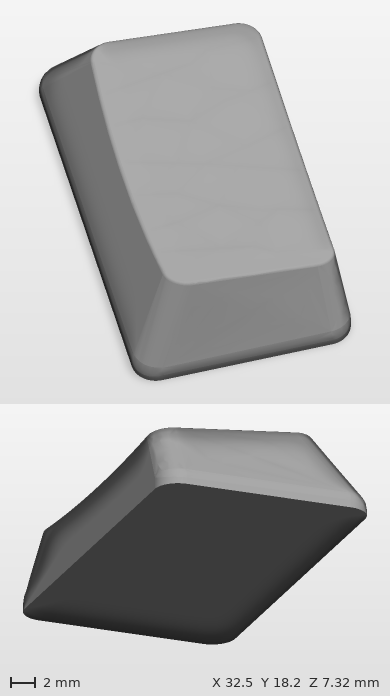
import cadquery as cq
import math

width = 32.45
depth = 18.16
rim_height = 1.0
rim_corner_radius = 2.0

top_slope = math.tan(math.radians(6.2))
top_height = 7.0
top_width = 25.44
top_corner_radius = 1.8

front_lean = math.tan(math.radians(29.3))
back_lean = math.tan(math.radians(6.2))

scoop_width = 28.0
scoop_brim_height = 7.1
scoop_front_depth = 1.4
scoop_back_depth = 0.8

shoulder_radius = 1.5
top_edge_radius = 0.3


def rounded_rectangle(length, breadth, radius):
    """Sketch of a centred rectangle with rounded corners."""
    return cq.Sketch().rect(length, breadth).vertices().fillet(radius)


def make_walls(rim_outline):
    """Four leaning walls from the top of the rim up to the tilted plane."""
    wall_rise = top_height - rim_height
    top_front = (-depth / 2 + front_lean * wall_rise) / (1 + front_lean * top_slope)
    top_back = (depth / 2 - back_lean * wall_rise) / (1 - back_lean * top_slope)
    top_middle = (top_front + top_back) / 2
    top_depth = (top_back - top_front) * math.hypot(1, top_slope)

    top_plane = cq.Plane(
        origin=(0, top_middle, top_height - top_slope * top_middle),
        xDir=(1, 0, 0),
        normal=(0, top_slope, 1),
    )
    top_outline = rounded_rectangle(top_width, top_depth, top_corner_radius)
    rim_top = cq.Location(cq.Vector(0, 0, rim_height))
    return (
        cq.Workplane("XY")
        .placeSketch(rim_outline.moved(rim_top), top_outline.moved(cq.Location(top_plane)))
        .loft(ruled=True)
    )


def make_blank():
    """Straight rim and leaning walls, joined by a rounded shoulder."""
    rim_outline = rounded_rectangle(width, depth, rim_corner_radius)
    rim = cq.Workplane("XY").placeSketch(rim_outline).extrude(rim_height)
    shoulder_margin = rim_height / 10
    shoulder = cq.selectors.BoxSelector(
        (-width, -depth, rim_height - shoulder_margin),
        (width, depth, rim_height + shoulder_margin),
    )
    return rim.union(make_walls(rim_outline)).edges(shoulder).fillet(shoulder_radius)


def scoop_section(y, arc_depth):
    """Closed wire across the scoop at a given Y: an arc below, straight sides and lid above."""
    brim = scoop_brim_height - top_slope * y
    lid = brim + top_height
    half_width = scoop_width / 2
    return (
        cq.Workplane("XZ", origin=(0, y, 0))
        .moveTo(-half_width, brim)
        .threePointArc((0, brim - arc_depth), (half_width, brim))
        .lineTo(half_width, lid)
        .lineTo(-half_width, lid)
        .close()
        .val()
    )


def make_scoop():
    """Solid that hollows the top, joining the front and back arcs with straight lines."""
    front = scoop_section(-depth / 2, scoop_front_depth)
    back = scoop_section(depth / 2, scoop_back_depth)
    return cq.Workplane(cq.Solid.makeLoft([front, back], True))


def round_top_edge(keycap):
    """Soften the rim around the scooped top face."""
    return keycap.faces(">Z").edges().fillet(top_edge_radius)


result = round_top_edge(make_blank().cut(make_scoop()))